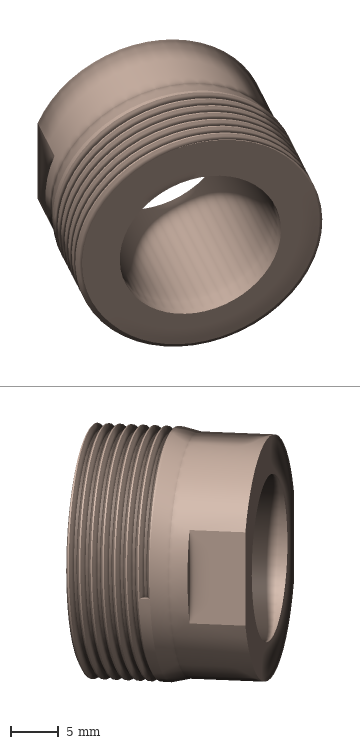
import cadquery as cq
import math

length = 19.0
outer_radius = 13.45
bore_radius = 8.85

collar_radius = 13.0
collar_length = 8.0
shoulder_end = 9.98
flat_offset = 12.0
flat_length = 6.0

six_turn_advance = 7.5
thread_pitch = six_turn_advance / 6
thread_depth = 0.7
thread_start = 10.55
thread_start_angle = 80
flank_angle = math.radians(30)
crest_width = thread_pitch / 8
cutter_clearance = 0.05


def make_body():
    """Revolve the collar, flared shoulder and thread blank around X."""
    outline = [
        (0, bore_radius),
        (0, collar_radius),
        (collar_length, collar_radius),
        (shoulder_end, outer_radius),
        (length, outer_radius),
        (length, bore_radius),
    ]
    return cq.Workplane("XZ").polyline(outline).close().revolve(360, (0, 0), (1, 0))


def make_flat_cutter(side):
    """Block that trims one wrench flat on the +Y or -Y side."""
    block = cq.Workplane("XY").box(
        flat_length, outer_radius, 2 * outer_radius, centered=(False, False, True)
    ).translate((0, flat_offset, 0))
    return block if side > 0 else block.mirror("XZ")


def groove_corner_helix(radius, axial_offset, turns):
    """Helical edge traced by one corner of the groove section, along +Z."""
    helix = cq.Wire.makeHelix(thread_pitch, turns * thread_pitch, radius)
    return helix.translate(cq.Vector(0, 0, axial_offset)).Edges()[0]


def make_thread_cutter():
    """Helical groove that starts just short of the +Y side and runs out past the end face."""
    root_radius = outer_radius - thread_depth
    cutter_radius = outer_radius + cutter_clearance
    mouth_half = (thread_pitch - crest_width) / 2
    root_half = mouth_half - thread_depth * math.tan(flank_angle)
    cutter_half = mouth_half + cutter_clearance * math.tan(flank_angle)
    turns = math.ceil((length + mouth_half - thread_start) / thread_pitch)

    corners = [
        (root_radius, -root_half),
        (cutter_radius, -cutter_half),
        (cutter_radius, cutter_half),
        (root_radius, root_half),
    ]
    edges = [groove_corner_helix(radius, offset, turns) for radius, offset in corners]

    faces = [
        cq.Face.makeRuledSurface(edge, following)
        for edge, following in zip(edges, edges[1:] + edges[:1])
    ]
    for path_end in (0, 1):
        cap_corners = [edge.positionAt(path_end) for edge in edges]
        faces.append(cq.Face.makeFromWires(cq.Wire.makePolygon(cap_corners, close=True)))
    groove = cq.Solid.makeSolid(cq.Shell.makeShell(faces))

    return (
        cq.Workplane(obj=groove)
        .rotate((0, 0, 0), (0, 1, 0), 90)
        .rotate((0, 0, 0), (1, 0, 0), thread_start_angle)
        .translate((thread_start, 0, 0))
    )


result = make_body()
for side in (1, -1):
    result = result.cut(make_flat_cutter(side))
result = result.cut(make_thread_cutter())